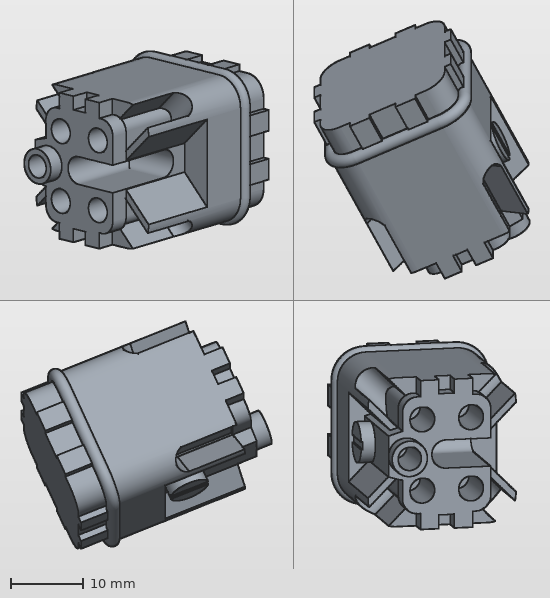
import cadquery as cq
import math


housing_width = 21.0
housing_corner = 4.0
housing_depth = 24.68

bead_outer_width = 22.3
bead_diameter = 1.87
bead_depth = 4.93

plug_step = 0.95
pad_width = 3.0
pad_center = 3.5

core_center_x = 0.03
core_width = 12.5
core_height = 16.45
core_corner = 2.08
core_depth = 27.4
tab_width = 7.42
notch_width = 2.2
notch_cut = 1.95

boss_face_x = -8.23
boss_face_height = 5.75
boss_root_height = 6.95

screw_diameter = 5.7
screw_depth = 16.45
screw_head_x = -10.22
screw_slot_width = 1.07
screw_slot_cut = 0.25

contact_diameter = 3.5
contact_pitch_x = 6.92
contact_pitch_z = 10.05
hole_length = 8.9
pin_diameter = 5.0
pin_bore = 3.3
pin_x = -5.73
pin_depth = 29.7

pocket_depth = 12.68
pocket_mouth_height = 12.6
groove_width = 3.92
groove_shoulder_depth = 16.34
groove_crown = 1.45
groove_undercut = 0.5
core_slot_width = 3.98
core_slot_end_x = -2.08
core_slot_depth = 14.97

housing_half = housing_width / 2


def at_depth(depth):
    """Workplane facing -Y; its local axes are X and Z."""
    return cq.Workplane("XZ", origin=(0, -depth, 0))


def rounded_block(width, height, corner, start, end, center_x=0):
    """Block between two depths with rounded edges along Y."""
    block = at_depth(start).center(center_x, 0).rect(width, height).extrude(end - start)
    return block.edges("|Y").fillet(corner)


def turned(shape, angle):
    """Copy of a shape turned about the Y axis."""
    return shape.rotate((0, 0, 0), (0, 1, 0), angle)


def repeat_about_y(shape, angles):
    """Union of copies of a shape turned about the Y axis."""
    copies = turned(shape, angles[0])
    for angle in angles[1:]:
        copies = copies.union(turned(shape, angle))
    return copies


def make_plug():
    plug_width = housing_width - 2 * plug_step
    plug = rounded_block(plug_width, plug_width, housing_corner - plug_step, 0, bead_depth)
    pads = (
        at_depth(0)
        .pushPoints([(-pad_center, 0), (pad_center, 0)])
        .rect(pad_width, housing_width)
        .extrude(bead_depth)
    )
    return plug.union(repeat_about_y(pads, (0, 90)))


def make_bead():
    """Round bead swept along one quarter of the housing outline, then repeated."""
    path_half = (bead_outer_width - bead_diameter) / 2
    corner_center = housing_half - housing_corner
    corner_middle = corner_center + (path_half - corner_center) * math.sqrt(0.5)
    quarter_path = (
        at_depth(bead_depth)
        .moveTo(path_half, 0)
        .lineTo(path_half, corner_center)
        .threePointArc((corner_middle, corner_middle), (corner_center, path_half))
        .lineTo(0, path_half)
    )
    section = cq.Workplane("XY", origin=(path_half, -bead_depth, 0)).circle(bead_diameter / 2)
    quarter = section.sweep(quarter_path)
    return repeat_about_y(quarter, (0, 90, 180, 270))


def make_grooves():
    """U-shaped grooves through the housing corners, cut slightly below the surface of the core."""
    half = groove_width / 2
    diagonal_plane = cq.Plane(origin=(0, 0, 0), xDir=(0, -1, 0), normal=(1, 0, 1))
    groove = (
        cq.Workplane(diagonal_plane)
        .moveTo(housing_depth, -half)
        .lineTo(groove_shoulder_depth, -half)
        .threePointArc((groove_shoulder_depth - groove_crown, 0), (groove_shoulder_depth, half))
        .lineTo(housing_depth, half)
        .close()
        .extrude(housing_width)
    )
    grooves = repeat_about_y(groove, (0, 90, 180, 270))
    floor = rounded_block(
        core_width - 2 * groove_undercut,
        core_height - 2 * groove_undercut,
        core_corner - groove_undercut,
        bead_depth,
        core_depth,
        core_center_x,
    )
    return grooves.cut(floor)


def make_side_pocket():
    """Pocket in the +X wall, narrowing inward at 45 degrees."""
    mouth_half = pocket_mouth_height / 2
    apex_x = housing_half - mouth_half
    return (
        at_depth(pocket_depth)
        .polyline([(apex_x, 0), (housing_half, -mouth_half), (housing_half, mouth_half)])
        .close()
        .extrude(housing_depth - pocket_depth)
    )


def make_core():
    core = rounded_block(core_width, core_height, core_corner, bead_depth, core_depth, core_center_x)
    tabs = (
        at_depth(bead_depth)
        .center(core_center_x, 0)
        .rect(tab_width, housing_width)
        .extrude(core_depth - bead_depth)
    )
    return core.union(tabs)


def make_boss():
    """Boss with tapered flanks that carries the screw."""
    root_x = core_center_x - core_width / 2
    face_half = boss_face_height / 2
    root_half = boss_root_height / 2
    return (
        at_depth(bead_depth)
        .polyline([
            (root_x, -root_half),
            (boss_face_x, -face_half),
            (boss_face_x, face_half),
            (root_x, root_half),
        ])
        .close()
        .extrude(core_depth - bead_depth)
    )


def make_notches():
    notch_z = housing_half - notch_cut / 2
    return (
        at_depth(housing_depth)
        .pushPoints([(core_center_x, -notch_z), (core_center_x, notch_z)])
        .rect(notch_width, notch_cut)
        .extrude(core_depth - housing_depth)
    )


def make_core_slot():
    """Slot open to +X, with a rounded inner end and a half-round floor."""
    radius = core_slot_width / 2
    end_center_x = core_slot_end_x + radius
    plan = (
        at_depth(core_slot_depth)
        .moveTo(core_width, -radius)
        .lineTo(end_center_x, -radius)
        .threePointArc((core_slot_end_x, 0), (end_center_x, radius))
        .lineTo(core_width, radius)
        .close()
        .extrude(core_depth - core_slot_depth)
    )
    trough = (
        cq.Workplane("YZ", origin=(core_slot_end_x, 0, 0))
        .moveTo(-core_depth, -radius)
        .lineTo(-core_slot_depth - radius, -radius)
        .threePointArc((-core_slot_depth, 0), (-core_slot_depth - radius, radius))
        .lineTo(-core_depth, radius)
        .close()
        .extrude(core_width)
    )
    return plan.intersect(trough)


def make_screw():
    head_length = boss_face_x - screw_head_x
    head = (
        cq.Workplane("YZ", origin=(screw_head_x, -screw_depth, 0))
        .circle(screw_diameter / 2)
        .extrude(head_length)
    )
    slot = (
        cq.Workplane("YZ", origin=(screw_head_x, -screw_depth, 0))
        .rect(screw_diameter, screw_slot_width)
        .extrude(screw_slot_cut)
    )
    return head.cut(slot)


housing = rounded_block(housing_width, housing_width, housing_corner, bead_depth, housing_depth)
housing = housing.cut(repeat_about_y(make_side_pocket(), (0, 180)))

body = make_plug().union(housing).union(make_bead()).union(make_core())
body = body.cut(make_grooves()).union(make_boss())
body = body.cut(make_notches()).cut(make_core_slot())

contact_holes = (
    at_depth(core_depth - hole_length)
    .center(core_center_x, 0)
    .rect(contact_pitch_x, contact_pitch_z, forConstruction=True)
    .vertices()
    .circle(contact_diameter / 2)
    .extrude(hole_length)
)
pin = at_depth(core_depth).center(pin_x, 0).circle(pin_diameter / 2).extrude(pin_depth - core_depth)
bore = at_depth(pin_depth - hole_length).center(pin_x, 0).circle(pin_bore / 2).extrude(hole_length)

result = body.cut(contact_holes).union(pin).cut(bore).union(make_screw())